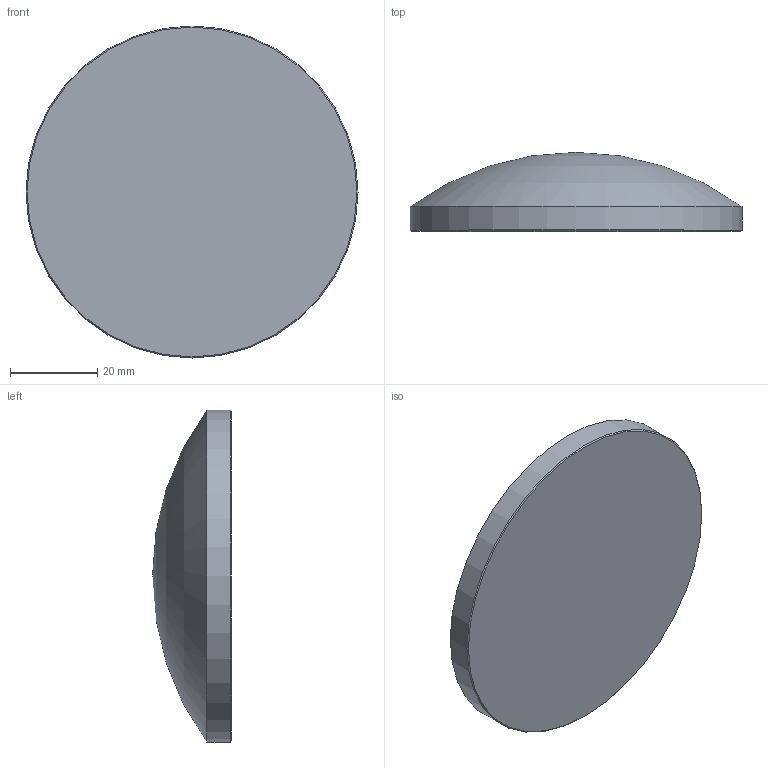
import cadquery as cq
import math

diameter = 76.2
centre_thickness = 18.11
edge_thickness = 5.65
flat_edge_chamfer = 0.25

radius = diameter / 2
dome_height = centre_thickness - edge_thickness
dome_radius = (radius**2 + dome_height**2) / (2 * dome_height)
dome_centre_y = centre_thickness - dome_radius

mid_angle = math.asin(radius / dome_radius) / 2
dome_mid = (
    dome_radius * math.sin(mid_angle),
    dome_centre_y + dome_radius * math.cos(mid_angle),
)


def lens_profile():
    """Half section of the lens in the YZ plane, closed along the Y axis."""
    return (
        cq.Workplane("ZY")
        .moveTo(0, 0)
        .lineTo(radius - flat_edge_chamfer, 0)
        .lineTo(radius, flat_edge_chamfer)
        .lineTo(radius, edge_thickness)
        .threePointArc(dome_mid, (0, centre_thickness))
        .close()
    )


result = lens_profile().revolve(360, (0, 0, 0), (0, 1, 0))